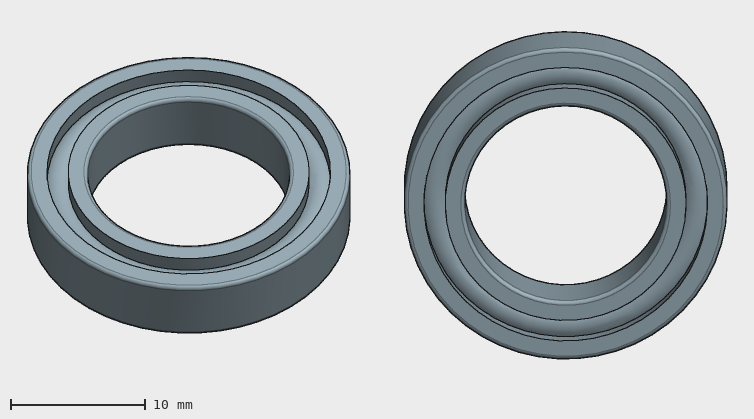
import cadquery as cq

outer_diameter = 24.0
bore_diameter = 15.0
width = 5.0
edge_radius = 0.3

gap_inner_radius = 8.95
gap_outer_radius = 10.54

pitch_radius = (gap_inner_radius + gap_outer_radius) / 2
ball_radius = 1.5


def race(inner_radius, outer_radius):
    """Plain ring spanning the full width."""
    return (
        cq.Workplane("XY", origin=(0, 0, -width / 2))
        .circle(outer_radius)
        .circle(inner_radius)
        .extrude(width)
    )


def rounded_edges(ring, radius_rank):
    """Round the circular edges of a ring: rank 0 is the inside, -1 the outside."""
    return ring.edges(cq.selectors.RadiusNthSelector(radius_rank)).fillet(edge_radius)


inner_race = rounded_edges(race(bore_diameter / 2, gap_inner_radius), 0)
outer_race = rounded_edges(race(gap_outer_radius, outer_diameter / 2), -1)

ball_torus = cq.Workplane(cq.Solid.makeTorus(pitch_radius, ball_radius))

result = inner_race.union(ball_torus).union(outer_race)